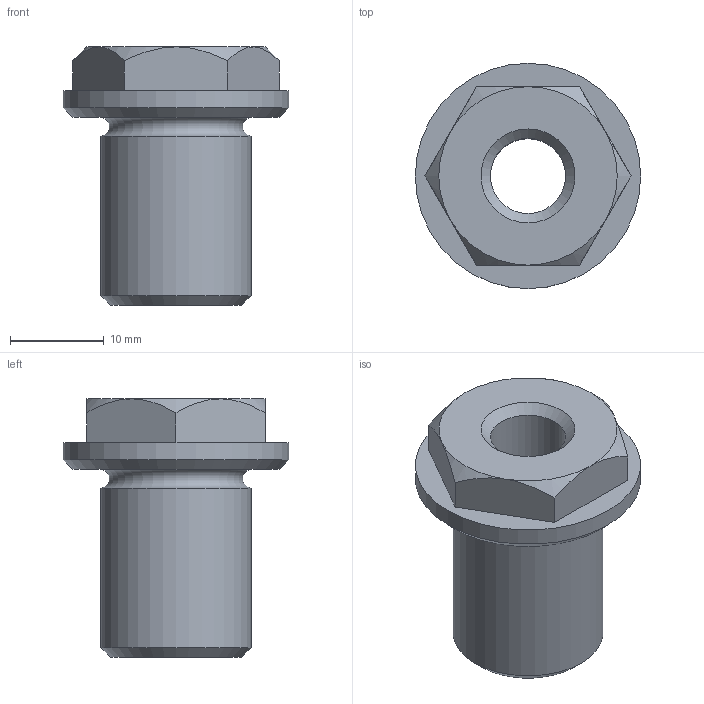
import cadquery as cq
import math

total_height = 27.5
head_height = 4.65
flange_thickness = 2.85
groove_height = 2.0

shank_radius = 8.0
shank_chamfer = 1.0
groove_depth = 0.9

flange_radius = 12.0
flange_chamfer = 1.0

hex_across_flats = 19.0
hex_across_corners = hex_across_flats / math.cos(math.pi / 6)
head_face_radius = hex_across_flats / 2

bore_radius = 4.0
bore_chamfer = 1.0

flange_top = total_height - head_height
flange_bottom = flange_top - flange_thickness
groove_bottom = flange_bottom - groove_height


def make_shank_and_flange():
    """Revolve the shank, the undercut below the flange and the flange."""
    groove_middle = (flange_bottom + groove_bottom) / 2
    profile = (
        cq.Workplane("XZ")
        .moveTo(0, 0)
        .lineTo(shank_radius - shank_chamfer, 0)
        .lineTo(shank_radius, shank_chamfer)
        .lineTo(shank_radius, groove_bottom)
        .threePointArc(
            (shank_radius - groove_depth, groove_middle),
            (shank_radius, flange_bottom),
        )
        .lineTo(flange_radius - flange_chamfer, flange_bottom)
        .lineTo(flange_radius, flange_bottom + flange_chamfer)
        .lineTo(flange_radius, flange_top)
        .lineTo(0, flange_top)
        .close()
    )
    return profile.revolve(360, (0, 0, 0), (0, 1, 0))


def make_head():
    """Hexagonal prism whose top corners are turned off by a 45 degree cone."""
    prism = (
        cq.Workplane("XY", origin=(0, 0, flange_top))
        .polygon(6, hex_across_corners)
        .extrude(head_height)
    )
    cone_base_radius = head_face_radius + head_height
    cone = (
        cq.Workplane("XZ")
        .moveTo(0, flange_top)
        .lineTo(cone_base_radius, flange_top)
        .lineTo(head_face_radius, total_height)
        .lineTo(0, total_height)
        .close()
        .revolve(360, (0, 0, 0), (0, 1, 0))
    )
    return prism.intersect(cone)


def make_bore():
    """Through bore with a 45 degree countersink at the head."""
    profile = (
        cq.Workplane("XZ")
        .moveTo(0, 0)
        .lineTo(bore_radius, 0)
        .lineTo(bore_radius, total_height - bore_chamfer)
        .lineTo(bore_radius + bore_chamfer, total_height)
        .lineTo(0, total_height)
        .close()
    )
    return profile.revolve(360, (0, 0, 0), (0, 1, 0))


result = make_shank_and_flange().union(make_head()).cut(make_bore())